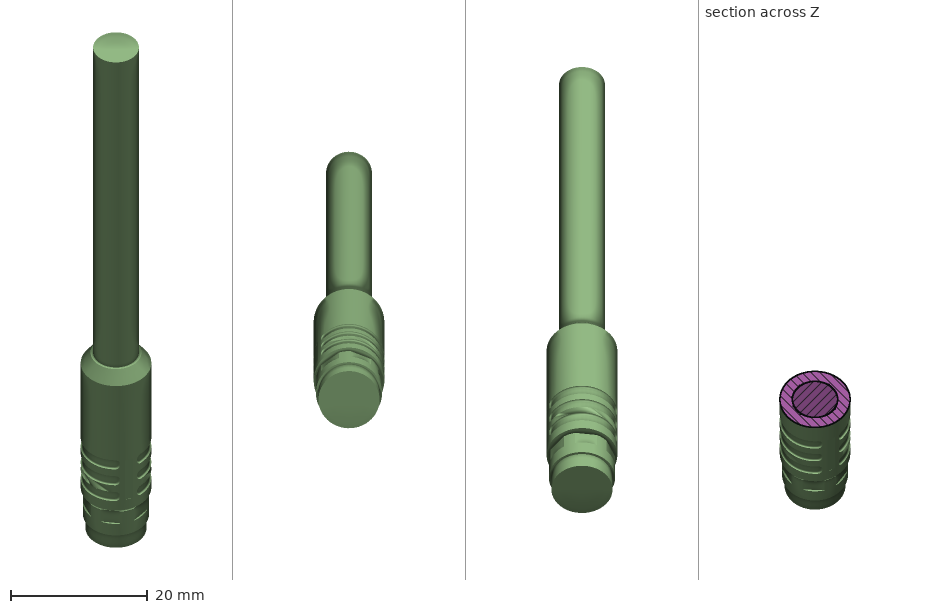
import cadquery as cq
import math

TOTAL_HEIGHT = 93.05

TIP_RADIUS = 4.5
TIP_HEIGHT = 2.7

RING_RADIUS = 4.8
RING_HEIGHT = 4.6
RING_TOP = TIP_HEIGHT + RING_HEIGHT
FLAT_COUNT = 6
FLAT_PITCH = 360 / FLAT_COUNT
FLAT_WIDTH = 3.3
FLAT_HEIGHT = 2.3
FLAT_DISTANCE = math.sqrt(RING_RADIUS**2 - (FLAT_WIDTH / 2) ** 2)

CABLE_RADIUS = 3.35

HOUSING_DIAMETER = 10.3
HOUSING_RADIUS = HOUSING_DIAMETER / 2
HOUSING_GAP = 0.6
HOUSING_BOTTOM = RING_TOP + HOUSING_GAP
HOUSING_TOP = 34.0
CONE_HEIGHT = 2.05
CONE_TOP_RADIUS = 3.7

GROOVE_COUNT = 3
GROOVE_PITCH = 3.1
GROOVE_WIDTH = 1.8
GROOVE_DEPTH = 0.3
GROOVE_CORNER_RADIUS = 0.7
GROOVE_FLOOR_FILLET = 0.23
GROOVE_SPAN = 150.0
GROOVE_MIDDLE_HEIGHT = 13.6

STRIP_WIDTH = 1.2
STRIP_HEIGHT = 7.6
STRIP_BOTTOM = GROOVE_MIDDLE_HEIGHT - STRIP_HEIGHT / 2
STRIP_DISTANCE = math.sqrt(HOUSING_RADIUS**2 - (STRIP_WIDTH / 2) ** 2)

STRIP_ANGLES = (-45.0, 135.0)
GROOVE_ANGLES = (45.0, 225.0)
FIRST_FLAT_ANGLE = 45.0

CUT_MARGIN = 0.9


def make_flat_cutter(distance, height, bottom, angle):
    """Block that leaves a flat at the given distance from the axis, facing the given angle."""
    return (
        cq.Workplane("XY", origin=(0, 0, bottom))
        .center(distance + CUT_MARGIN / 2, 0)
        .rect(CUT_MARGIN, 2 * HOUSING_RADIUS)
        .extrude(height)
        .rotate((0, 0, 0), (0, 0, 1), angle)
    )


def make_groove_cutter(height, angle):
    """Curved bar with rounded corners and floor edges, centred on the given height and angle."""
    floor_radius = HOUSING_RADIUS - GROOVE_DEPTH
    bar_depth = GROOVE_DEPTH + CUT_MARGIN
    axis_offset = -(floor_radius + bar_depth / 2)
    bar = cq.Workplane("XZ").rect(bar_depth, GROOVE_WIDTH)
    bar = bar.revolve(GROOVE_SPAN, (axis_offset, 0), (axis_offset, 1))
    bar = bar.translate((-axis_offset, 0, 0)).rotate((0, 0, 0), (0, 0, 1), -GROOVE_SPAN / 2)
    bar = bar.edges("%LINE and (not |Z)").fillet(GROOVE_CORNER_RADIUS)
    floor = bar.faces(cq.NearestToPointSelector((0, 0, 0)))
    bar = floor.edges().fillet(GROOVE_FLOOR_FILLET)
    return bar.rotate((0, 0, 0), (0, 0, 1), angle).translate((0, 0, height))


def make_tip():
    """Plain cylinder that closes the bottom of the connector."""
    return cq.Workplane("XY").circle(TIP_RADIUS).extrude(TIP_HEIGHT)


def make_coupling_ring():
    """Disc resting on the tip, with flats cut down from its top edge."""
    flat_bottom = RING_TOP - FLAT_HEIGHT
    ring = cq.Workplane("XY", origin=(0, 0, TIP_HEIGHT)).circle(RING_RADIUS).extrude(RING_HEIGHT)
    for index in range(FLAT_COUNT):
        angle = FIRST_FLAT_ANGLE + index * FLAT_PITCH
        ring = ring.cut(make_flat_cutter(FLAT_DISTANCE, FLAT_HEIGHT, flat_bottom, angle))
    return ring


def make_cable():
    """Round cable from the top of the coupling ring to the free end."""
    return cq.Workplane("XY", origin=(0, 0, RING_TOP)).circle(CABLE_RADIUS).extrude(TOTAL_HEIGHT - RING_TOP)


def make_housing():
    """Sleeve with a conical shoulder, a bore for the cable, grip grooves and marker strips."""
    lowest_groove = GROOVE_MIDDLE_HEIGHT - (GROOVE_COUNT - 1) / 2 * GROOVE_PITCH
    profile = [
        (CABLE_RADIUS, HOUSING_BOTTOM),
        (HOUSING_RADIUS, HOUSING_BOTTOM),
        (HOUSING_RADIUS, HOUSING_TOP - CONE_HEIGHT),
        (CONE_TOP_RADIUS, HOUSING_TOP),
        (CABLE_RADIUS, HOUSING_TOP),
    ]
    housing = cq.Workplane("XZ").polyline(profile).close().revolve(360, (0, 0), (0, 1))
    housing = housing.rotate((0, 0, 0), (0, 0, 1), STRIP_ANGLES[0])
    for angle in GROOVE_ANGLES:
        for index in range(GROOVE_COUNT):
            housing = housing.cut(make_groove_cutter(lowest_groove + index * GROOVE_PITCH, angle))
    for angle in STRIP_ANGLES:
        housing = housing.cut(make_flat_cutter(STRIP_DISTANCE, STRIP_HEIGHT, STRIP_BOTTOM, angle))
    return housing


tip = make_tip()
coupling_ring = make_coupling_ring()
cable = make_cable()
housing = make_housing()

result = cq.Compound.makeCompound([tip.val(), coupling_ring.val(), cable.val(), housing.val()])